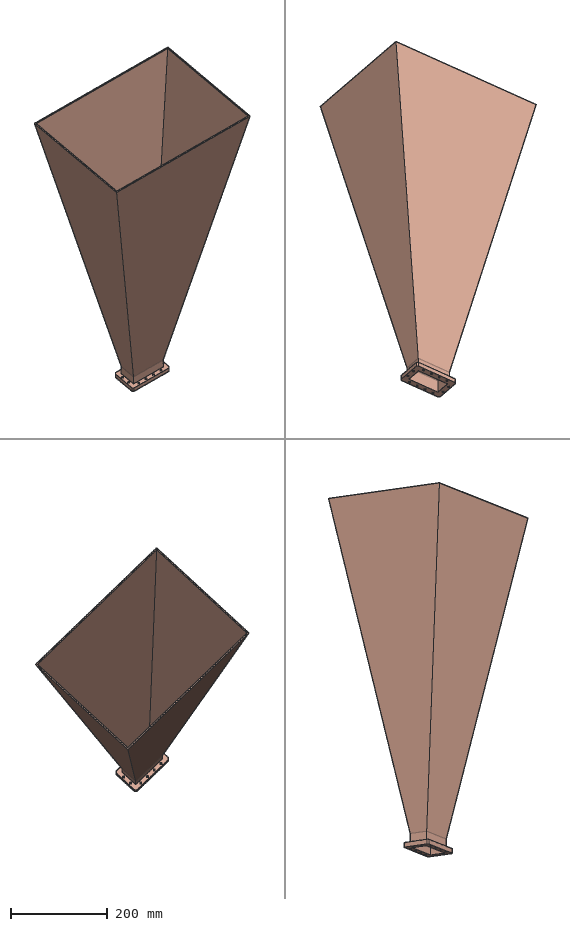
import cadquery as cq

MOUTH_X = 267.8
MOUTH_Y = 358.88

NECK_X = 40.0
NECK_Y = 80.0
NECK_HEIGHT = 20.0
WALL = 3.0

FLANGE_RIM = 10.0
FLANGE_THICKNESS = 10.0
FLANGE_CORNER_CHAMFER = 3.0

BOLT_HOLE_DIAMETER = 4.0
BOLTS_PER_LONG_SIDE = 4
BOLTS_PER_SHORT_SIDE = 2
BOLT_PITCH = 20.0

HOPPER_HEIGHT = 700.0

NECK_BASE_Z = FLANGE_THICKNESS
HOPPER_BASE_Z = NECK_BASE_Z + NECK_HEIGHT


def make_block(size_x, size_y, height, base_z):
    """Upright rectangular block centred on the Z axis."""
    return cq.Workplane("XY").workplane(offset=base_z).rect(size_x, size_y).extrude(height)


def make_frustum(inset):
    """Straight-sided hopper body, with every side moved inward by the inset."""
    return (
        cq.Workplane("XY")
        .workplane(offset=HOPPER_BASE_Z)
        .rect(NECK_X - 2 * inset, NECK_Y - 2 * inset)
        .workplane(offset=HOPPER_HEIGHT)
        .rect(MOUTH_X - 2 * inset, MOUTH_Y - 2 * inset)
        .loft(ruled=True, combine=True)
    )


def row_offsets(count):
    """Evenly pitched positions of a bolt row, centred on zero."""
    return [(i - (count - 1) / 2) * BOLT_PITCH for i in range(count)]


def bolt_positions():
    """Centres of the bolt holes on all four sides of the flange."""
    bolt_x = (NECK_X + FLANGE_RIM) / 2
    bolt_y = (NECK_Y + FLANGE_RIM) / 2
    long_sides = [(side * bolt_x, y) for side in (-1, 1) for y in row_offsets(BOLTS_PER_LONG_SIDE)]
    short_sides = [(x, side * bolt_y) for side in (-1, 1) for x in row_offsets(BOLTS_PER_SHORT_SIDE)]
    return long_sides + short_sides


def make_flange():
    """Flat flange with chamfered vertical corners and a ring of bolt holes."""
    flange = make_block(NECK_X + 2 * FLANGE_RIM, NECK_Y + 2 * FLANGE_RIM, FLANGE_THICKNESS, 0)
    flange = flange.edges("|Z").chamfer(FLANGE_CORNER_CHAMFER)
    bolt_holes = (
        cq.Workplane("XY")
        .pushPoints(bolt_positions())
        .circle(BOLT_HOLE_DIAMETER / 2)
        .extrude(FLANGE_THICKNESS)
    )
    return flange.cut(bolt_holes)


def make_passage():
    """Open channel through the hopper, neck and flange."""
    outlet = make_block(NECK_X - 2 * WALL, NECK_Y - 2 * WALL, HOPPER_BASE_Z, 0)
    return make_frustum(WALL).union(outlet)


neck = make_block(NECK_X, NECK_Y, NECK_HEIGHT, NECK_BASE_Z)
outside = make_flange().union(neck).union(make_frustum(0))
result = outside.cut(make_passage())